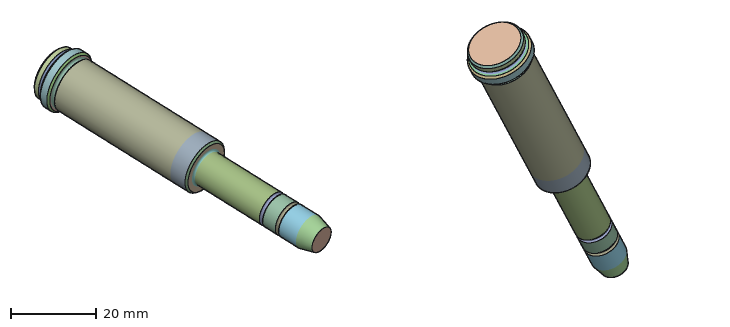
import cadquery as cq
import math

body_radius = 14.0 / 2
collar_radius = 16.0 / 2
stem_radius = 9.0 / 2

collar_start = 2.75
collar_end = 5.75
body_seam = 43.0
body_end = 48.0
stem_groove_centers = (69.0, 74.0)
taper_start = 80.0
total_length = 84.0

chamfer = 0.5
groove_radius = 0.5
fillet_radius = 0.5
taper_angle = 15.0

taper_drop = (total_length - taper_start) * math.tan(math.radians(taper_angle))
tip_radius = stem_radius - taper_drop


def add_round_groove(profile, center, surface_radius):
    """Run along the surface to a half-round groove and follow its bottom."""
    return (
        profile.lineTo(center - groove_radius, surface_radius)
        .threePointArc(
            (center, surface_radius - groove_radius),
            (center + groove_radius, surface_radius),
        )
    )


def add_head(profile):
    """Chamfered head disc, with a collar between two half-round grooves."""
    profile = profile.lineTo(0, body_radius - chamfer).lineTo(chamfer, body_radius)
    profile = add_round_groove(profile, collar_start - groove_radius, body_radius)
    profile = (
        profile.lineTo(collar_start, collar_radius - chamfer)
        .lineTo(collar_start + chamfer, collar_radius)
        .lineTo(collar_end - chamfer, collar_radius)
        .lineTo(collar_end, collar_radius - chamfer)
    )
    return add_round_groove(profile, collar_end + groove_radius, body_radius)


def add_body(profile):
    """Plain cylinder in two stretches that meet at a seam, chamfered at its end."""
    return (
        profile.lineTo(body_seam, body_radius)
        .lineTo(body_end - chamfer, body_radius)
        .lineTo(body_end, body_radius - chamfer)
    )


def add_stem(profile):
    """Slim stem with a root fillet, two half-round grooves and a tapered tip."""
    fillet_center_x = body_end + fillet_radius
    fillet_center_r = stem_radius + fillet_radius
    fillet_reach = fillet_radius * math.cos(math.radians(45))
    profile = profile.lineTo(body_end, fillet_center_r).threePointArc(
        (fillet_center_x - fillet_reach, fillet_center_r - fillet_reach),
        (fillet_center_x, stem_radius),
    )
    for center in stem_groove_centers:
        profile = add_round_groove(profile, center, stem_radius)
    return (
        profile.lineTo(taper_start, stem_radius)
        .lineTo(total_length, tip_radius)
        .lineTo(total_length, 0)
    )


outline = cq.Workplane("XY").moveTo(0, 0)
outline = add_head(outline)
outline = add_body(outline)
outline = add_stem(outline)
result = outline.close().revolve(360, (0, 0, 0), (1, 0, 0), clean=False)